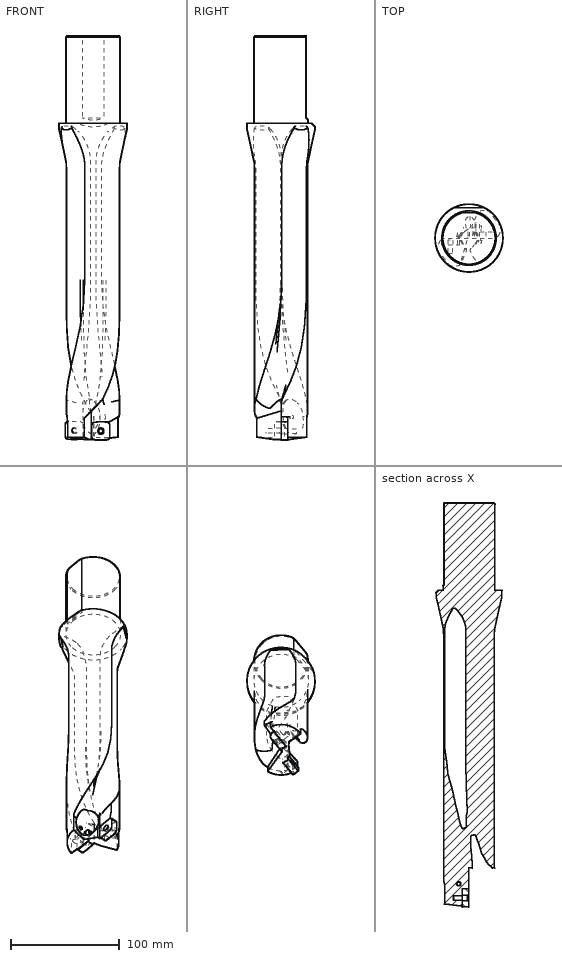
import cadquery as cq
import math


overall_length = 370.98
shank_length = 80.0
flange_thickness = 6.0
flange_top = overall_length - shank_length
flange_bottom = flange_top - flange_thickness
flare_bottom = 255.2
neck_bottom = 249.7
runout_start = 254.0
twist_start = 147.0
twist_end = 22.0
tip_band_top = 24.6
tip_band_bottom = 21.3
rim_height = 2.8
end_face_height = 0.6

shank_radius = 49.99 / 2
flange_radius = 62.5 / 2
neck_radius = 24.8
body_radius = 24.53
tip_radius = 23.8
end_face_radius = 8.0

shank_chamfer = 1.0
flat_offset = 23.0
flat_bottom = 296.0

flute_direction = 217.0
flute_floor_distance = 7.5
flute_floor_half_width = 6.8
flute_wall_lean = 30.0
flute_corner_radius = 2.8
flute_depth = 30.0
runout_radius = 38.0
runout_angle = 65.0
flute_twist = -92.5
twist_sections = 12

insert_size = 16.0
insert_corner_radius = 3.0
insert_crown = 0.4
insert_thickness = 6.0
central_insert_x = 7.2
peripheral_insert_x = -17.3
central_insert_z = insert_size / 2 + insert_crown
peripheral_insert_lift = 0.6
peripheral_insert_z = central_insert_z + peripheral_insert_lift
insert_hole_diameter = 4.7
countersink_diameter = 5.7
countersink_depth = 1.5
screw_hole_diameter = 4.0
screw_hole_depth = 8.0
relief_bottom = 17.0
relief_top = 22.0

seat_wall_top = 38.0
seat_wall_inner_x = 9.3

gullet_inner_x = -1.5
gullet_outer_x = -11.5
gullet_right_x = 16.0
gullet_low_edge = 16.5
gullet_high_edge = 45.0

scoop_x = -4.0
scoop_y = 10.6
scoop_z = 20.8
scoop_half_width = 10.3
scoop_half_length = 17.5
scoop_lean = 14.0
coolant_hole_diameter = 3.5
coolant_hole_depth = 5.0
coolant_hole_y = 9.5
coolant_hole_z = 21.5

clearance = 10.0


def turned_blank():
    """Shank, flange, flare and drill body as one revolved profile."""
    profile = (
        cq.Workplane("XZ")
        .moveTo(0, end_face_height)
        .lineTo(end_face_radius, end_face_height)
        .lineTo(tip_radius, rim_height)
        .lineTo(tip_radius, tip_band_bottom)
        .lineTo(body_radius, tip_band_top)
        .lineTo(body_radius, neck_bottom)
        .lineTo(neck_radius, flare_bottom)
        .lineTo(flange_radius, flange_bottom)
        .lineTo(flange_radius, flange_top)
        .lineTo(shank_radius, flange_top)
        .lineTo(shank_radius, overall_length - shank_chamfer)
        .lineTo(shank_radius - shank_chamfer, overall_length)
        .lineTo(0, overall_length)
        .close()
    )
    return profile.revolve(360, (0, 0, 0), (0, 1, 0))


def clamping_flat():
    """Cutter for the shank flat, which runs out at 45 degrees near the flange."""
    return (
        cq.Workplane("YZ")
        .moveTo(flat_offset, overall_length + clearance)
        .lineTo(flat_offset, flat_bottom)
        .lineTo(flat_offset + clearance, flat_bottom - clearance)
        .lineTo(flat_offset + clearance, overall_length + clearance)
        .close()
        .extrude(shank_radius, both=True)
    )


def flute_section(height):
    """Trapezoid flute outline at the given height, opening along +X, with rounded floor corners."""
    lean = math.radians(flute_wall_lean)
    mouth_distance = flute_floor_distance + flute_depth
    mouth_half_width = flute_floor_half_width + flute_depth * math.tan(lean)
    setback = flute_corner_radius * math.tan((math.pi / 2 - lean) / 2)
    wall_x = flute_floor_distance + setback * math.cos(lean)
    wall_y = flute_floor_half_width + setback * math.sin(lean)
    floor_y = flute_floor_half_width - setback
    return (
        cq.Workplane("XY", origin=(0, 0, height))
        .moveTo(mouth_distance, -mouth_half_width)
        .lineTo(wall_x, -wall_y)
        .radiusArc((flute_floor_distance, -floor_y), flute_corner_radius)
        .lineTo(flute_floor_distance, floor_y)
        .radiusArc((wall_x, wall_y), flute_corner_radius)
        .lineTo(mouth_distance, mouth_half_width)
        .close()
    )


def twisted_flute():
    """Flute stretch whose twist grows with the square of the distance below its start."""
    wires = []
    for step in range(twist_sections + 1):
        fraction = step / twist_sections
        height = twist_start + fraction * (twist_end - twist_start)
        wire = flute_section(height).wire().val()
        wires.append(wire.rotate((0, 0, 0), (0, 0, 1), flute_twist * fraction**2))
    return cq.Workplane(cq.Solid.makeLoft(wires))


def flute():
    """Cutter for one flute: run-out into the flare, straight stretch, twist and straight tip."""
    straight = flute_section(twist_start).extrude(runout_start - twist_start)
    pivot_x = flute_floor_distance + runout_radius
    runout = flute_section(runout_start).revolve(runout_angle, (pivot_x, 0, 0), (pivot_x, 1, 0))
    tip = flute_section(-clearance).extrude(twist_end + clearance).rotate((0, 0, 0), (0, 0, 1), flute_twist)
    return [
        part.rotate((0, 0, 0), (0, 0, 1), flute_direction)
        for part in (runout, straight, twisted_flute(), tip)
    ]


def seat_wall():
    """Cutter that flattens the trailing flute wall to the cutting-face plane beside an insert."""
    length = body_radius + clearance
    size = (length, length, seat_wall_top + clearance)
    return cq.Workplane("XY").box(*size, centered=False).translate((seat_wall_inner_x, -length, -clearance))


def central_gullet():
    """Cutter that clears the chip space in front of the central insert, with a sloping roof."""
    depth = body_radius + clearance
    plan = [
        (gullet_inner_x, 0),
        (gullet_right_x, 0),
        (gullet_right_x, -depth),
        (gullet_outer_x, -depth),
    ]
    roof = [
        (gullet_outer_x, -clearance),
        (gullet_outer_x, gullet_low_edge),
        (gullet_right_x, gullet_high_edge),
        (gullet_right_x, -clearance),
    ]
    column = cq.Workplane("XY", origin=(0, 0, -clearance)).polyline(plan).close()
    column = column.extrude(gullet_high_edge + clearance)
    return column.intersect(cq.Workplane("XZ").polyline(roof).close().extrude(depth))


def peripheral_scoop():
    """Ellipsoid cutter for the chip space of the peripheral insert."""
    half_ellipse = (
        cq.Workplane("XZ")
        .moveTo(0, -scoop_half_length)
        .ellipseArc(scoop_half_width, scoop_half_length, -90, 90, startAtCurrent=True)
        .close()
    )
    ellipsoid = half_ellipse.revolve(360, (0, 0, 0), (0, 1, 0))
    return ellipsoid.rotate((0, 0, 0), (1, 0, 0), scoop_lean).translate((scoop_x, scoop_y, scoop_z))


def coolant_hole():
    """Coolant outlet drilled along X into the wall of the peripheral scoop."""
    return (
        cq.Workplane("YZ", origin=(scoop_x, coolant_hole_y, coolant_hole_z))
        .circle(coolant_hole_diameter / 2)
        .extrude(scoop_half_width + coolant_hole_depth)
    )


def insert_relief():
    """Cutter beside the central insert that drops the flute wall to the level of the insert's back."""
    end_x = body_radius + clearance
    outline = [
        (central_insert_x, -clearance),
        (central_insert_x, relief_bottom),
        (central_insert_x + insert_size / 2, relief_bottom),
        (body_radius, relief_top),
        (end_x, relief_top),
        (end_x, -clearance),
    ]
    return (
        cq.Workplane("XZ", origin=(0, insert_thickness, 0))
        .polyline(outline)
        .close()
        .extrude(body_radius + clearance)
    )


def insert_plate():
    """Square plate with slightly crowned sides, centred on Y, its cutting face at Y = 0."""
    half = insert_size / 2
    crown = half + insert_crown
    plate = (
        cq.Workplane("XZ")
        .moveTo(-half, -half)
        .threePointArc((0, -crown), (half, -half))
        .threePointArc((crown, 0), (half, half))
        .threePointArc((0, crown), (-half, half))
        .threePointArc((-crown, 0), (-half, -half))
        .close()
        .extrude(-insert_thickness)
    )
    return plate.edges("|Y").fillet(insert_corner_radius)


def bored_along_y(diameter, start_y, length):
    """Cylinder on the Y axis, used to bore an insert or its seat."""
    return cq.Workplane("XZ", origin=(0, start_y, 0)).circle(diameter / 2).extrude(-length)


def placed_central(body):
    """Move a body from the insert origin to the central seat, cutting face toward -Y."""
    return body.translate((central_insert_x, 0, central_insert_z))


def placed_peripheral(body):
    """Move a body from the insert origin to the peripheral seat, cutting face toward +Y."""
    return body.rotate((0, 0, 0), (0, 0, 1), 180).translate((peripheral_insert_x, 0, peripheral_insert_z))


def cutting_insert():
    """Insert plate with its countersunk clamping-screw hole."""
    countersink = (
        cq.Workplane("XZ")
        .circle(countersink_diameter / 2)
        .workplane(offset=-countersink_depth)
        .circle(insert_hole_diameter / 2)
        .loft()
    )
    hole = bored_along_y(insert_hole_diameter, 0, insert_thickness)
    return insert_plate().cut(hole).cut(countersink)


def drill_holder():
    """Holder body with flutes, chip spaces, insert seats and tapped holes."""
    body = turned_blank().cut(clamping_flat())
    for turn in (0, 180):
        for stretch in [*flute(), seat_wall()]:
            body = body.cut(stretch.rotate((0, 0, 0), (0, 0, 1), turn))
    body = body.cut(central_gullet()).cut(insert_relief())
    body = body.cut(peripheral_scoop()).cut(coolant_hole())
    screw_hole = bored_along_y(screw_hole_diameter, insert_thickness, screw_hole_depth)
    for placed in (placed_central, placed_peripheral):
        body = body.cut(placed(insert_plate())).cut(placed(screw_hole))
    return body


holder = drill_holder()
central_insert = placed_central(cutting_insert())
peripheral_insert = placed_peripheral(cutting_insert())

result = cq.Compound.makeCompound([holder.val(), central_insert.val(), peripheral_insert.val()])